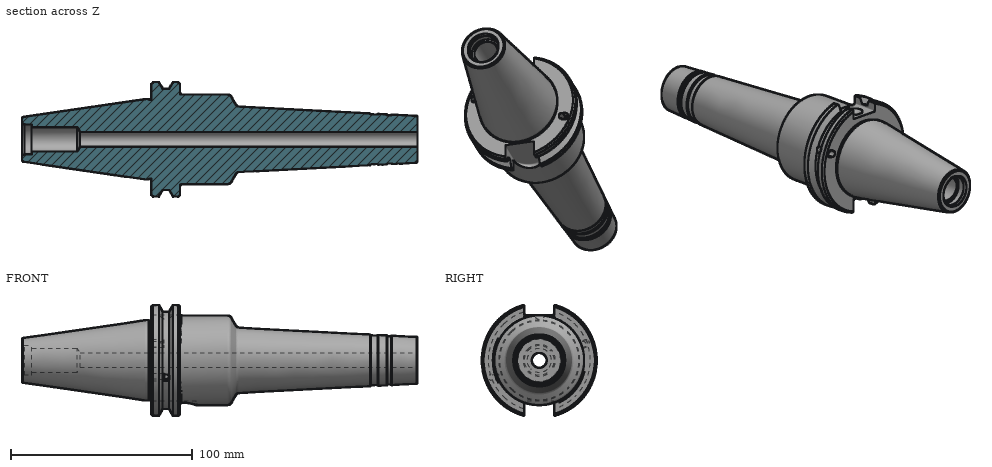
import cadquery as cq
import math

length = 218.2

taper_length = 68.0
gauge_radius = 22.3
taper_slope = 7 / 48
tail_chamfer = 0.7

relief_start = 69.8
relief_wall_run = 0.7
relief_depth = 0.5

flange_front = 71.4
flange_back = 87.3
flange_radius = 63.5 / 2
flange_chamfer = 1.0
gripper_center = 79.5
gripper_floor_width = 3.5
gripper_floor_radius = 56.0 / 2
gripper_wall_angle = 30.0

body_radius = 49.5 / 2
body_end = 114.8
body_root_fillet = 0.9
shoulder_angle = 60.0
shoulder_outer_fillet = 2.5
shoulder_inner_fillet = 1.7

nose_tip_radius = 26.0 / 2
nose_angle = 3.0
nose_tip_chamfer = 0.7
marking_grooves = [(191.8, 196.6), (201.0, 204.0)]
marking_depth = 0.5
marking_wall_run = 0.7

slot_width = 16.4
top_slot_floor = 25.0
bottom_slot_floor = 22.5
slot_end = 96.5
slot_floor_fillet = 0.7
slot_rim_chamfer = 0.7
dimple_diameter = 9.5
dimple_angle = 120.0

coolant_angle = 20.0
inner_port_diameter = 3.3
inner_port_radius = 25.8
inner_port_depth = 8.0
outer_port_diameter = 4.1
outer_port_radius = 27.3
outer_port_depth = 4.1
cross_hole_diameter = 4.0
cross_hole_depth = 3.3

through_diameter = 8.0
thread_diameter = 13.3
thread_depth = 30.5
pilot_diameter = 16.4
pilot_depth = 5.5
mouth_diameter = 17.7
mouth_depth = 1.5
drill_point_angle = 118.0


def cone_height(radius, included_angle):
    return radius / math.tan(math.radians(included_angle / 2))


def nose_radius_at(x):
    return nose_tip_radius + (length - x) * math.tan(math.radians(nose_angle))


def revolve_about_x(points):
    """Turn a closed (x, radius) outline about the X axis."""
    outline = cq.Workplane("XY").polyline(points).close()
    return outline.revolve(360, (0, 0, 0), (1, 0, 0))


def fillet_circle(solid, x, radius, fillet):
    """Round the circular edge that has the given position and radius."""
    edges = solid.edges("%CIRCLE").filter(
        lambda e: abs(e.Center().x - x) < 0.002 and abs(e.radius() - radius) < 0.002
    )
    return solid.newObject(edges.vals()).fillet(fillet)


def pointed_drill(diameter, depth, origin, direction):
    """Drill shape with a conical point beyond its full-diameter depth."""
    radius = diameter / 2
    tip = depth + cone_height(radius, drill_point_angle)
    outline = cq.Workplane("XZ").polyline([(0, 0), (radius, 0), (radius, depth), (0, tip)]).close()
    drill = outline.revolve(360, (0, 0, 0), (0, 1, 0)).val()
    return drill.moved(cq.Plane(origin=origin, normal=direction).location)


def make_turned_body():
    tail_radius = gauge_radius - taper_length * taper_slope
    relief_radius = gauge_radius - relief_depth
    shoulder_slope = math.tan(math.radians(shoulder_angle))
    nose_slope = math.tan(math.radians(nose_angle))
    shoulder_run = (body_radius - nose_radius_at(body_end)) / (shoulder_slope - nose_slope)
    nose_start = body_end + shoulder_run
    body = revolve_about_x([
        (0, 0),
        (0, tail_radius - tail_chamfer),
        (tail_chamfer, tail_radius + tail_chamfer * taper_slope),
        (taper_length, gauge_radius),
        (relief_start, gauge_radius),
        (relief_start + relief_wall_run, relief_radius),
        (flange_front, relief_radius),
        (flange_front, flange_radius - flange_chamfer),
        (flange_front + flange_chamfer, flange_radius),
        (flange_back - flange_chamfer, flange_radius),
        (flange_back, flange_radius - flange_chamfer),
        (flange_back, body_radius),
        (body_end, body_radius),
        (nose_start, nose_radius_at(nose_start)),
        (length - nose_tip_chamfer, nose_radius_at(length - nose_tip_chamfer)),
        (length, nose_tip_radius - nose_tip_chamfer),
        (length, 0),
    ])
    body = fillet_circle(body, flange_back, body_radius, body_root_fillet)
    body = fillet_circle(body, body_end, body_radius, shoulder_outer_fillet)
    return fillet_circle(body, nose_start, nose_radius_at(nose_start), shoulder_inner_fillet)


def make_gripper_groove():
    half_floor = gripper_floor_width / 2
    wall_run = (flange_radius - gripper_floor_radius) * math.tan(math.radians(gripper_wall_angle))
    half_mouth = half_floor + wall_run
    return revolve_about_x([
        (gripper_center - half_floor, gripper_floor_radius),
        (gripper_center - half_mouth, flange_radius),
        (gripper_center + half_mouth, flange_radius),
        (gripper_center + half_floor, gripper_floor_radius),
    ])


def make_marking_groove(start, end):
    floor_start = start + marking_wall_run
    floor_end = end - marking_wall_run
    return revolve_about_x([
        (start, nose_radius_at(start)),
        (floor_start, nose_radius_at(floor_start) - marking_depth),
        (floor_end, nose_radius_at(floor_end) - marking_depth),
        (end, nose_radius_at(end)),
    ])


def make_slot_rim():
    """Flared prism that chamfers the long slot edges on the flange rim."""
    half_width = slot_width / 2
    flare_start = math.sqrt(flange_radius**2 - half_width**2) - slot_rim_chamfer
    half_top = half_width + flange_radius - flare_start
    return (
        cq.Workplane("YZ", origin=(flange_front, 0, 0))
        .polyline([
            (-half_width, flare_start),
            (half_width, flare_start),
            (half_top, flange_radius),
            (-half_top, flange_radius),
        ])
        .close()
        .extrude(flange_back - flange_front)
    )


def make_drive_slot(floor_height):
    """Drive slot above the axis, running past the flange to a half-round end."""
    end_center = slot_end - slot_width / 2
    slot = (
        cq.Workplane("XY", origin=(0, 0, floor_height))
        .moveTo(flange_front, -slot_width / 2)
        .lineTo(end_center, -slot_width / 2)
        .threePointArc((slot_end, 0), (end_center, slot_width / 2))
        .lineTo(flange_front, slot_width / 2)
        .close()
        .extrude(flange_radius - floor_height)
    )
    slot = slot.faces("<Z").edges("not |Y").fillet(slot_floor_fillet)
    return slot.union(make_slot_rim())


def make_dimple():
    """Conical dimple in the floor of the upper slot."""
    radius = dimple_diameter / 2
    return cq.Workplane(cq.Solid.makeCone(
        radius, 0, cone_height(radius, dimple_angle),
        cq.Vector(gripper_center, 0, top_slot_floor), cq.Vector(0, 0, -1),
    ))


def make_coolant_ports():
    """Two overlapping holes in the flange face and a radial hole from the gripper groove."""
    inner = pointed_drill(
        inner_port_diameter, inner_port_depth, (flange_front, inner_port_radius, 0), (1, 0, 0)
    )
    outer = pointed_drill(
        outer_port_diameter, outer_port_depth, (flange_front, outer_port_radius, 0), (1, 0, 0)
    )
    radial = pointed_drill(
        cross_hole_diameter, flange_radius - gripper_floor_radius + cross_hole_depth,
        (gripper_center, flange_radius, 0), (0, -1, 0),
    )
    return cq.Workplane(inner).union(cq.Workplane(outer)).union(cq.Workplane(radial))


def make_bore():
    through_radius = through_diameter / 2
    thread_radius = thread_diameter / 2
    pilot_radius = pilot_diameter / 2
    point_length = cone_height(thread_radius - through_radius, drill_point_angle)
    return revolve_about_x([
        (0, 0),
        (0, mouth_diameter / 2),
        (mouth_depth, pilot_radius),
        (pilot_depth, pilot_radius),
        (pilot_depth, thread_radius),
        (thread_depth, thread_radius),
        (thread_depth + point_length, through_radius),
        (length, through_radius),
        (length, 0),
    ])


result = make_turned_body().cut(make_gripper_groove())
for groove_start, groove_end in marking_grooves:
    result = result.cut(make_marking_groove(groove_start, groove_end))
result = result.cut(make_drive_slot(top_slot_floor)).cut(make_dimple())
bottom_slot = make_drive_slot(bottom_slot_floor).rotate((0, 0, 0), (1, 0, 0), 180)
result = result.cut(bottom_slot)
for half_turn in (0, 180):
    coolant_ports = make_coolant_ports().rotate((0, 0, 0), (1, 0, 0), coolant_angle + half_turn)
    result = result.cut(coolant_ports)
result = result.cut(make_bore())